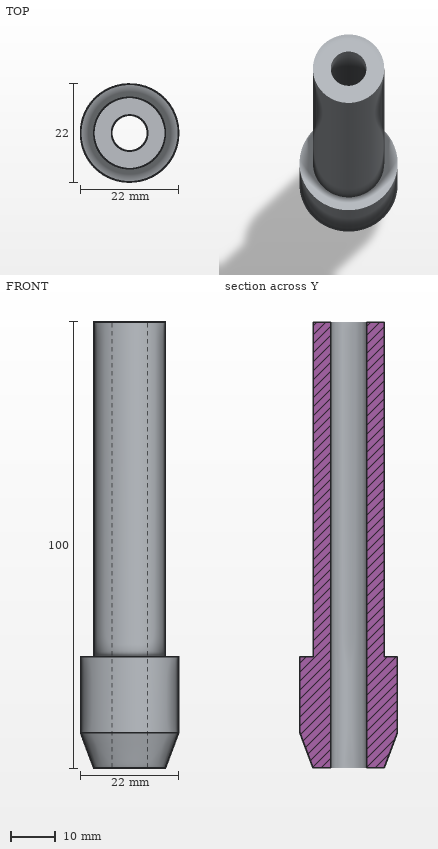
import cadquery as cq

total_height = 100
collar_height = 25
nose_height = 8
shank_diameter = 16
collar_diameter = 22
nose_tip_diameter = 16
bore_diameter = 8

shank_radius = shank_diameter / 2
collar_radius = collar_diameter / 2
nose_tip_radius = nose_tip_diameter / 2
bore_radius = bore_diameter / 2

half_section = (
    cq.Workplane("XZ")
    .moveTo(bore_radius, 0)
    .lineTo(nose_tip_radius, 0)
    .lineTo(collar_radius, nose_height)
    .lineTo(collar_radius, collar_height)
    .lineTo(shank_radius, collar_height)
    .lineTo(shank_radius, total_height)
    .lineTo(bore_radius, total_height)
    .close()
)

result = half_section.revolve(360, (0, 0, 0), (0, 1, 0))